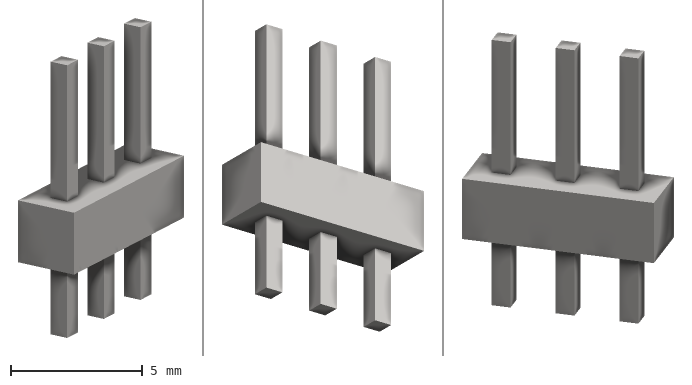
import cadquery as cq

pin_count = 3
pitch = 2.54
block_height = 2.5
pin_side = 0.75
pin_length = 11.0
pin_tail = 3.0

first_y = -pitch * (pin_count - 1) / 2


def square_bar(side, length, y, bottom_z):
    """Upright square bar centred on X = 0."""
    return (
        cq.Workplane("XY", origin=(0, y, bottom_z))
        .rect(side, side)
        .extrude(length)
    )


def make_pin(y):
    """Straight square pin reaching through its block."""
    return square_bar(pin_side, pin_length, y, -pin_tail)


def make_block(y):
    """Insulator block with a through hole that fits the pin."""
    return square_bar(pitch, block_height, y, 0).cut(make_pin(y))


bodies = []
for index in range(pin_count):
    position_y = first_y + index * pitch
    bodies.append(make_block(position_y).val())
    bodies.append(make_pin(position_y).val())

result = cq.Compound.makeCompound(bodies)